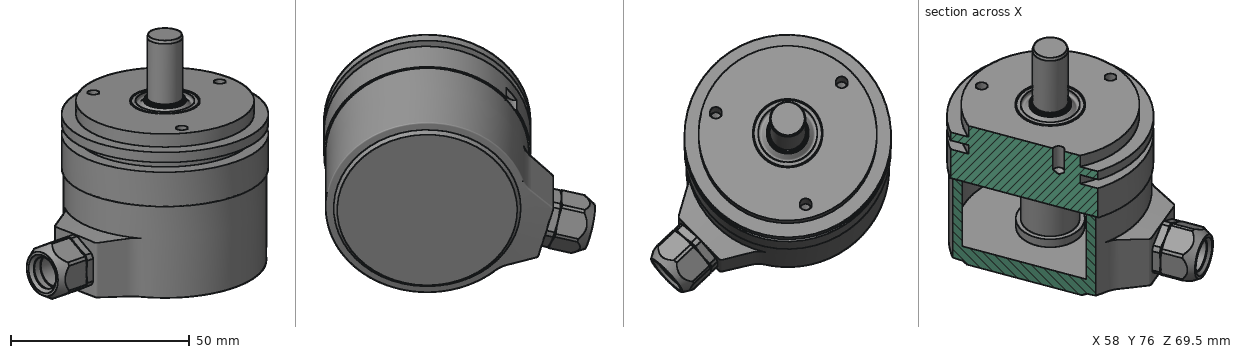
import cadquery as cq
import math

shaft_radius = 5.0
shaft_top_z = 69.5
shaft_chamfer_height = 0.9
shaft_chamfer_width = 0.3
flange_top_z = 49.4
pilot_radius = 25.0
flange_radius = 28.995
clamp_ring_top_z = 45.45
clamp_ring_bottom_z = 42.4
skirt_top_z = 39.45
skirt_bottom_z = 29.0

collar_top_z = 50.3
collar_radius = 5.7
collar_chamfer = 0.2
collar_rim_radius = 5.9
collar_rim_height = 0.2
collar_foot_radius = 6.2
groove_inner_radius = 7.2
groove_outer_radius = 8.3
groove_wall_height = 0.75
bearing_gap_inner_radius = 9.5
bearing_gap_outer_radius = 9.8
bearing_gap_depth = 0.3

screw_hole_radius = 1.7
screw_hole_depth = 7.6
screw_circle_radius = 21.0
screw_count = 3
screw_start_angle = 90
drill_point_angle = 118

notch_radius = 2.9
notch_center_radius = 30.25
notch_angle = 220
notch_top_z = 33.9

cap_radius = 28.5
shoulder_z = 18.9
cap_edge_z = 1.15
cap_edge_radius = 0.4
cap_chamfer_radius = 26.2
cap_base_radius = 25.2
cone_angle = 5
cone_slope = math.tan(math.radians(cone_angle))
radius_tolerance = 0.001
cap_cavity_radius = 26.2
cap_floor_z = 6.2

hub_radius = 8.3
hub_bottom_z = 9.05
post_radius = 9.65

outlet_face_y = -34.4
outlet_half_width = 8.5
outlet_flank_angle = 30
outlet_corner_radius = 1.0
outlet_blend_radius = 8.35

gland_z = 9.95
gland_end_y = -47.005
nut_start_y = -36.9
hex_sides = 6
across_flats = 15.0
base_corner_radius = 8.2
nut_corner_radius = 8.35
gland_groove_radius = 7.4
gland_groove_half_width = 0.2
gland_end_radius = 6.45
gland_cone_angle = 30
bore_radius = 4.6
bore_mouth_radius = 5.6
bore_chamber_radius = 4.95
bore_chamber_start = 1.3
bore_chamber_end = 3.8
bore_inner_end_y = -22.8


def revolve_about_z(points):
    return cq.Workplane("XZ").polyline(points).close().revolve(360, (0, 0, 0), (0, 1, 0))


def cylinder(radius, bottom_z, top_z):
    return cq.Workplane("XY").workplane(offset=bottom_z).circle(radius).extrude(top_z - bottom_z)


def make_screw_hole(angle):
    tip_depth = screw_hole_radius / math.tan(math.radians(drill_point_angle / 2))
    hole = revolve_about_z([
        (0, flange_top_z),
        (screw_hole_radius, flange_top_z),
        (screw_hole_radius, flange_top_z - screw_hole_depth),
        (0, flange_top_z - screw_hole_depth - tip_depth),
    ])
    return hole.translate((screw_circle_radius, 0, 0)).rotate((0, 0, 0), (0, 0, 1), angle)


def make_turned_flange():
    """Flange, collar and shaft in one turned profile, with a rounded groove around the collar."""
    diagonal = math.sin(math.radians(45))
    groove_round = (groove_outer_radius - groove_inner_radius) / (1 + diagonal)
    round_center_z = flange_top_z - groove_wall_height
    flank_start_z = round_center_z - groove_round * diagonal
    collar_foot_z = flank_start_z + groove_inner_radius - collar_foot_radius
    return (
        cq.Workplane("XZ")
        .polyline([
            (0, hub_bottom_z),
            (hub_radius, hub_bottom_z),
            (hub_radius, skirt_bottom_z),
            (flange_radius, skirt_bottom_z),
            (flange_radius, skirt_top_z),
            (pilot_radius, skirt_top_z),
            (pilot_radius, clamp_ring_bottom_z),
            (flange_radius, clamp_ring_bottom_z),
            (flange_radius, clamp_ring_top_z),
            (pilot_radius, clamp_ring_top_z),
            (pilot_radius, flange_top_z),
            (bearing_gap_outer_radius, flange_top_z),
            (bearing_gap_outer_radius, flange_top_z - bearing_gap_depth),
            (bearing_gap_inner_radius, flange_top_z - bearing_gap_depth),
            (bearing_gap_inner_radius, flange_top_z),
            (groove_outer_radius, flange_top_z),
            (groove_outer_radius, round_center_z),
        ])
        .threePointArc(
            (groove_outer_radius - groove_round, round_center_z - groove_round),
            (groove_inner_radius, flank_start_z),
        )
        .lineTo(collar_foot_radius, collar_foot_z)
        .lineTo(collar_rim_radius, flange_top_z)
        .lineTo(collar_rim_radius, flange_top_z + collar_rim_height)
        .lineTo(collar_radius, flange_top_z + collar_rim_height)
        .lineTo(collar_radius, collar_top_z - collar_chamfer)
        .lineTo(collar_radius - collar_chamfer, collar_top_z)
        .lineTo(shaft_radius, collar_top_z)
        .lineTo(shaft_radius, shaft_top_z - shaft_chamfer_height)
        .lineTo(shaft_radius - shaft_chamfer_width, shaft_top_z)
        .lineTo(0, shaft_top_z)
        .close()
        .revolve(360, (0, 0, 0), (0, 1, 0))
    )


def make_flange():
    body = make_turned_flange()
    for index in range(screw_count):
        body = body.cut(make_screw_hole(screw_start_angle + index * 360 / screw_count))
    notch = cylinder(notch_radius, skirt_bottom_z, notch_top_z)
    notch = notch.translate((notch_center_radius, 0, 0)).rotate((0, 0, 0), (0, 0, 1), notch_angle)
    return body.cut(notch)


def is_outlet_corner(edge):
    """True for the upright edges at the front face of the outlet wedge."""
    return math.isclose(edge.Center().y, outlet_face_y)


def is_outlet_root(edge):
    """True for the upright edges where the outlet flanks meet the round cap on its -Y side."""
    center = edge.Center()
    on_cap = math.isclose(math.hypot(center.x, center.y), cap_radius, rel_tol=radius_tolerance)
    return on_cap and center.y < -outlet_half_width


def is_bottom_rim(edge):
    """True for the outer edges between the side walls and the shallow cone below."""
    ends = (edge.startPoint(), edge.endPoint())
    return all(
        math.hypot(end.x, end.y) > cap_chamfer_radius + cap_edge_radius and end.z < cap_floor_z
        for end in ends
    )


def make_lower_cap():
    """Round cap with the tapering cable outlet, bounded above and below by shallow cones."""
    flank_slope = math.tan(math.radians(outlet_flank_angle))
    root_half_width = outlet_half_width - outlet_face_y * flank_slope
    outlet = (
        cq.Workplane("XY")
        .polyline([
            (-outlet_half_width, outlet_face_y),
            (outlet_half_width, outlet_face_y),
            (root_half_width, 0),
            (-root_half_width, 0),
        ])
        .close()
        .extrude(shoulder_z)
    )
    outlet = outlet.edges("|Z").filter(is_outlet_corner).fillet(outlet_corner_radius)
    blank = cylinder(cap_radius, 0, shoulder_z).union(outlet)
    blank = blank.edges("|Z").filter(is_outlet_root).fillet(outlet_blend_radius)

    reach = -outlet_face_y + outlet_half_width
    cone_run = reach - cap_radius
    envelope = revolve_about_z([
        (0, 0),
        (cap_base_radius, 0),
        (cap_chamfer_radius, cap_edge_z - (cap_radius - cap_chamfer_radius) * cone_slope),
        (reach, cap_edge_z + cone_run * cone_slope),
        (reach, shoulder_z - cone_run * cone_slope),
        (cap_radius, shoulder_z),
        (0, shoulder_z),
    ])
    lower_cap = blank.intersect(envelope)
    rim_edges = lower_cap.edges().filter(is_bottom_rim)
    return rim_edges.fillet(cap_edge_radius)


def make_gland():
    """Hexagonal gland along Y: clipped corners, a groove between base and nut, a conical end."""
    length = outlet_face_y - gland_end_y
    hex_half_step = math.pi / hex_sides
    hexagon = (
        cq.Workplane("XZ", origin=(0, outlet_face_y, gland_z))
        .polygon(hex_sides, across_flats / math.cos(hex_half_step))
        .extrude(length)
        .rotate((0, 0, gland_z), (0, 1, gland_z), math.degrees(hex_half_step))
    )
    cone_length = (nut_corner_radius - gland_end_radius) / math.tan(math.radians(gland_cone_angle))
    envelope = (
        cq.Workplane("XY", origin=(0, 0, gland_z))
        .polyline([
            (0, outlet_face_y),
            (base_corner_radius, outlet_face_y),
            (base_corner_radius, nut_start_y + gland_groove_half_width),
            (gland_groove_radius, nut_start_y),
            (nut_corner_radius, nut_start_y - gland_groove_half_width),
            (nut_corner_radius, gland_end_y + cone_length),
            (gland_end_radius, gland_end_y),
            (0, gland_end_y),
        ])
        .close()
        .revolve(360, (0, 0, 0), (0, 1, 0))
    )
    return hexagon.intersect(envelope)


def make_bore():
    """Cable bore from the gland end into the cavity of the cap."""
    return (
        cq.Workplane("XY", origin=(0, 0, gland_z))
        .polyline([
            (0, gland_end_y),
            (bore_mouth_radius, gland_end_y),
            (bore_radius, gland_end_y + bore_mouth_radius - bore_radius),
            (bore_radius, gland_end_y + bore_chamber_start),
            (bore_chamber_radius, gland_end_y + bore_chamber_start),
            (bore_chamber_radius, gland_end_y + bore_chamber_end),
            (bore_radius, gland_end_y + bore_chamber_end),
            (bore_radius, bore_inner_end_y),
            (0, bore_inner_end_y),
        ])
        .close()
        .revolve(360, (0, 0, 0), (0, 1, 0))
    )


def make_cap():
    body = make_lower_cap()
    body = body.union(cylinder(cap_radius, shoulder_z, skirt_bottom_z), clean=False)
    body = body.union(make_gland(), clean=False)
    body = body.cut(cylinder(cap_cavity_radius, cap_floor_z, skirt_bottom_z))
    body = body.cut(make_bore())
    return body.union(cylinder(post_radius, cap_floor_z, hub_bottom_z))


flange = make_flange()
cap = make_cap()
result = cq.Compound.makeCompound([flange.val(), cap.val()])